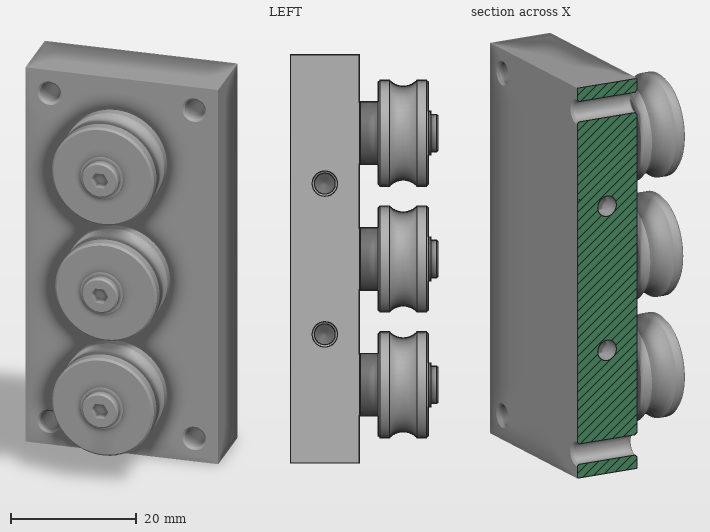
import cadquery as cq
import math

plate_width = 32.0
plate_depth = 11.0
plate_height = 65.0

hole_diameter = 3.3
hole_mouth_diameter = 4.0
corner_hole_pitch_x = 24.0
corner_hole_pitch_z = 57.0
side_hole_pitch_z = 24.0
side_hole_depth = 10.0
drill_point_angle = 118.0

roller_pitch = 20.0
middle_roller_offset = 0.5
collar_diameter = 10.0
collar_length = 3.0
collar_chamfer = 0.2
roller_diameter = 16.9
roller_width = 8.0
roller_chamfer = 0.3
groove_radius = 3.0
groove_depth = 1.0

washer_diameter = 7.0
washer_thickness = 0.4
head_diameter = 6.0
head_height = 1.2
head_chamfer = 0.25
socket_across_flats = 2.5
socket_depth = 1.5

hole_radius = hole_diameter / 2
mouth_radius = hole_mouth_diameter / 2
mouth_depth = mouth_radius - hole_radius
roller_radius = roller_diameter / 2
roller_back = collar_length
roller_front = roller_back + roller_width
head_back = roller_front + washer_thickness
head_front = head_back + head_height


def revolve_forward(outline, x, z):
    """Revolve an outline drawn in radius (x) and distance in front of the plate (y), and place its axis."""
    solid = outline.close().revolve(360, (0, 0, 0), (0, 1, 0))
    return solid.rotate((0, 0, 0), (0, 0, 1), 180).translate((x, 0, z))


def disc(diameter, length, start, x, z):
    """Disc facing -Y, starting at a distance in front of the plate face."""
    return cq.Workplane("XZ", origin=(x, -start, z)).circle(diameter / 2).extrude(length)


def make_plate():
    return cq.Workplane("XY").box(plate_width, plate_depth, plate_height).translate((0, plate_depth / 2, 0))


def corner_hole(x, z):
    """Through hole along Y with a 45 degree countersink at both ends."""
    outline = (
        cq.Workplane("XY")
        .lineTo(mouth_radius, 0)
        .lineTo(hole_radius, -mouth_depth)
        .lineTo(hole_radius, mouth_depth - plate_depth)
        .lineTo(mouth_radius, -plate_depth)
        .lineTo(0, -plate_depth)
    )
    return revolve_forward(outline, x, z)


def side_hole(z):
    """Blind hole entering the -X face, countersunk, with a conical drill point."""
    point_length = hole_radius / math.tan(math.radians(drill_point_angle / 2))
    outline = (
        cq.Workplane("XY")
        .lineTo(0, mouth_radius)
        .lineTo(mouth_depth, hole_radius)
        .lineTo(side_hole_depth, hole_radius)
        .lineTo(side_hole_depth + point_length, 0)
        .close()
    )
    hole = outline.revolve(360, (0, 0, 0), (1, 0, 0))
    return hole.translate((-plate_width / 2, plate_depth / 2, z))


def grooved_roller(x, z):
    """Chamfered roller with an arc groove around the middle of its rim."""
    middle = (roller_back + roller_front) / 2
    half_groove = math.sqrt(groove_radius**2 - (groove_radius - groove_depth) ** 2)
    outline = (
        cq.Workplane("XY")
        .moveTo(0, roller_back)
        .lineTo(roller_radius - roller_chamfer, roller_back)
        .lineTo(roller_radius, roller_back + roller_chamfer)
        .lineTo(roller_radius, middle - half_groove)
        .threePointArc((roller_radius - groove_depth, middle), (roller_radius, middle + half_groove))
        .lineTo(roller_radius, roller_front - roller_chamfer)
        .lineTo(roller_radius - roller_chamfer, roller_front)
        .lineTo(0, roller_front)
    )
    return revolve_forward(outline, x, z)


def hexagon_socket(z):
    """Hexagonal recess sunk from the front of the screw head, corners pointing along X."""
    across_corners = socket_across_flats / math.cos(math.radians(30))
    socket = cq.Workplane("XZ", origin=(0, socket_depth - head_front, z))
    return socket.polygon(6, across_corners).extrude(socket_depth)


def roller_station(offset, z):
    """Collar and roller, shifted sideways by the offset, held by a centred washer and screw."""
    collar = disc(collar_diameter, collar_length, 0, offset, z).faces(">Y").chamfer(collar_chamfer)
    washer = disc(washer_diameter, washer_thickness, roller_front, 0, z)
    head = disc(head_diameter, head_height, head_back, 0, z).faces("<Y").chamfer(head_chamfer)
    station = collar.union(grooved_roller(offset, z)).union(washer).union(head)
    return station.cut(hexagon_socket(z))


result = make_plate()

for side_x in (-1, 1):
    for side_z in (-1, 1):
        result = result.cut(corner_hole(side_x * corner_hole_pitch_x / 2, side_z * corner_hole_pitch_z / 2))

for side_z in (-1, 1):
    result = result.cut(side_hole(side_z * side_hole_pitch_z / 2))

for step, offset in ((-1, 0), (0, middle_roller_offset), (1, 0)):
    result = result.union(roller_station(offset, step * roller_pitch))